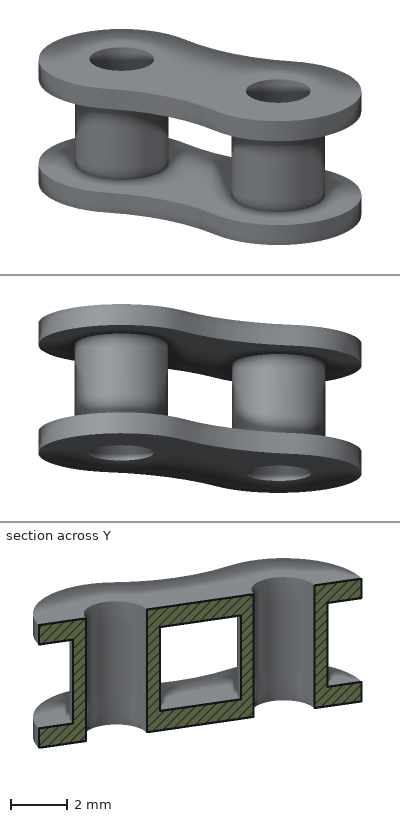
import cadquery as cq

length = 12.24
plate_width = 5.89
waist_width = 4.8
height = 4.7
plate_thickness = 0.76
roller_diameter = 3.3
bore_diameter = 2.29

end_radius = plate_width / 2
half_pitch = length / 2 - end_radius
half_waist = waist_width / 2
roller_length = height - 2 * plate_thickness
centers = [(-half_pitch, 0), (half_pitch, 0)]

waist_radius = (half_pitch**2 + half_waist**2 - end_radius**2) / (2 * (end_radius - half_waist))
end_share = end_radius / (end_radius + waist_radius)
tangent_x = half_pitch * (1 - end_share)
tangent_y = (half_waist + waist_radius) * end_share


def link_plate(bottom_z):
    """Waisted side plate with its lower face at bottom_z."""
    return (
        cq.Workplane("XY", origin=(0, 0, bottom_z))
        .moveTo(-tangent_x, tangent_y)
        .threePointArc((0, half_waist), (tangent_x, tangent_y))
        .threePointArc((length / 2, 0), (tangent_x, -tangent_y))
        .threePointArc((0, -half_waist), (-tangent_x, -tangent_y))
        .threePointArc((-length / 2, 0), (-tangent_x, tangent_y))
        .close()
        .extrude(plate_thickness)
    )


def cylinders(diameter, cylinder_length):
    """Pair of upright cylinders on the link centers, centered in height."""
    return (
        cq.Workplane("XY")
        .pushPoints(centers)
        .circle(diameter / 2)
        .extrude(cylinder_length / 2, both=True)
    )


lower_plate = link_plate(-height / 2)
upper_plate = link_plate(roller_length / 2)
rollers = cylinders(roller_diameter, roller_length)
bores = cylinders(bore_diameter, height)

result = lower_plate.union(rollers).union(upper_plate).cut(bores)